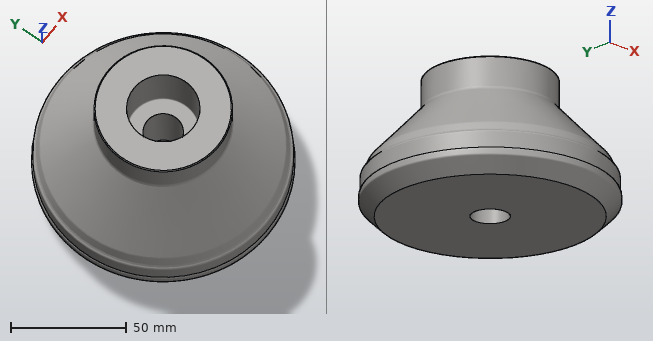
import cadquery as cq

total_height = 63.04
through_hole_diameter = 17.5

pad_height = 10.2
pad_bottom_radius = 50.3
rim_radius = 57.11
rim_bottom_height = 6.6
rim_top_height = 9.06
rim_bottom_round = 1.0

skirt_radius = 113.01 / 2
skirt_top_height = 17.93
shoulder_bottom_radius = 55.3
shoulder_bottom_height = 18.85
shoulder_top_radius = 53.5
shoulder_top_height = 23.05
neck_radius = 60.0 / 2
neck_bottom_height = 48.1
neck_chamfer = 0.5
blend_radius = 2.0
skirt_edge_round = 1.0

bore_radius = 31.76 / 2
bore_depth = 25.0
bore_floor_round = 0.5


def revolve_about_z(points):
    """Turn a closed (radius, height) outline about the Z axis."""
    return cq.Workplane("XZ").polyline(points).close().revolve(360, (0, 0, 0), (0, 1, 0))


def edge_circle(body, radius, height):
    """Select the circular edge with this radius and height."""
    reach = 0.05
    low = (-radius - reach, -radius - reach, height - reach)
    high = (radius + reach, radius + reach, height + reach)
    return body.edges(cq.selectors.BoxSelector(low, high, boundingbox=True))


def through_hole():
    return cq.Workplane("XY").circle(through_hole_diameter / 2).extrude(total_height)


def make_pad():
    pad = (
        cq.Workplane("XZ")
        .lineTo(pad_bottom_radius, 0)
        .lineTo(rim_radius, rim_bottom_height)
        .lineTo(rim_radius, rim_top_height)
        .tangentArcPoint((skirt_radius, pad_height), relative=False)
        .lineTo(0, pad_height)
        .close()
        .revolve(360, (0, 0, 0), (0, 1, 0))
    )
    pad = edge_circle(pad, rim_radius, rim_bottom_height).fillet(rim_bottom_round)
    return pad.cut(through_hole())


def make_bore():
    bore = (
        cq.Workplane("XY")
        .workplane(offset=total_height - bore_depth)
        .circle(bore_radius)
        .extrude(bore_depth)
    )
    return bore.faces("<Z").edges().fillet(bore_floor_round)


def make_housing():
    housing = revolve_about_z([
        (0, pad_height),
        (skirt_radius, pad_height),
        (skirt_radius, skirt_top_height),
        (shoulder_bottom_radius, shoulder_bottom_height),
        (shoulder_top_radius, shoulder_top_height),
        (neck_radius, neck_bottom_height),
        (neck_radius, total_height),
        (0, total_height),
    ])
    housing = edge_circle(housing, neck_radius, total_height).chamfer(neck_chamfer)
    housing = edge_circle(housing, neck_radius, neck_bottom_height).fillet(blend_radius)
    housing = edge_circle(housing, shoulder_top_radius, shoulder_top_height).fillet(blend_radius)
    housing = edge_circle(housing, shoulder_bottom_radius, shoulder_bottom_height).fillet(blend_radius)
    housing = edge_circle(housing, skirt_radius, skirt_top_height).fillet(skirt_edge_round)
    return housing.cut(make_bore()).cut(through_hole())


pad = make_pad()
housing = make_housing()

result = cq.Compound.makeCompound([housing.val(), pad.val()])